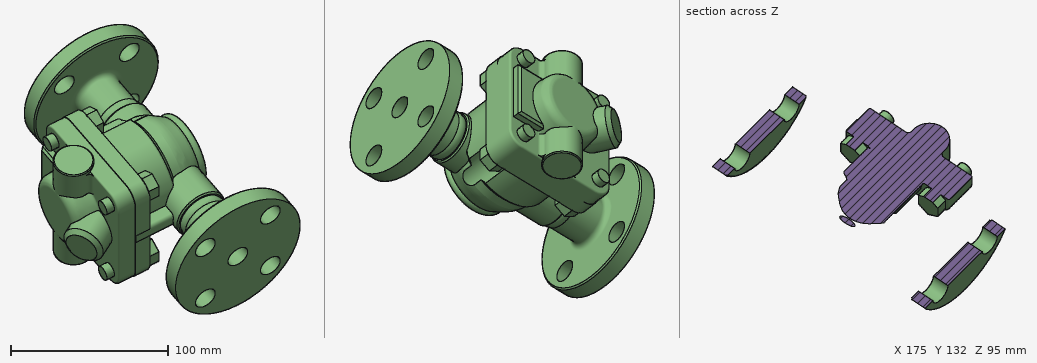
import cadquery as cq
import math

FACE_TO_FACE = 175.0
FLANGE_DIAMETER = 95.0
FLANGE_THICKNESS = 12.0
FLANGE_EDGE_CHAMFER = 1.0
BOLT_CIRCLE = 70.0
FIRST_HOLE_ANGLE = 45.0
FLANGE_HOLE_DIAMETER = 15.0
FLANGE_HOLE_COUNT = 4
BORE_DIAMETER = 15.0
BORE_DEPTH = 12.0
PIPE_RADIUS = 16.0
NECK_FILLET = 4.0
WELD_END_X = 51.3
WELD_HEIGHT = 0.7
SOCKET_RADIUS = 18.0
SOCKET_END_X = 45.3
SOCKET_CHAMFER = 1.0

BODY_X = -6.0
RING_TOP_Y = 22.0
RING_FACE_RADIUS = 22.6
RING_RADIUS = 25.8
RING_WIDEST_Y = 19.2
GROOVE_RADIUS = 24.8
GROOVE_Y = 16.5
NECK_TOP_RADIUS = 26.4
NECK_TOP_Y = 14.2
CONE_END_RADIUS = 30.2
CONE_END_Y = 7.5
NECK_RADIUS = 32.7
NECK_TOP_EDGE_Y = 0.5
NECK_BASE_Y = -6.0
CHAMBER_RADIUS = 36.5
CHAMBER_Y = -10.0
CHAMBER_EDGE_FILLET = 2.0
SIDE_TAB_END_X = 40.0
SIDE_TAB_HALF_HEIGHT = 5.0
SIDE_TAB_FILLET = 3.0

JOINT_X = -3.0
BODY_FLANGE_BACK_Y = -34.8
JOINT_Y = -46.5
COVER_FRONT_Y = -58.8
BODY_FLANGE_SIDE = 85.5
COVER_SIDE = 85.0
COVER_SHIFT = -0.25
JOINT_CORNER_RADIUS = 11.0
JOINT_EDGE_FILLET = 1.4
BOLT_SPACING = 64.0
BOLT_DIAMETER = 10.0
BOLT_END_Y = -64.5
NUT_SIDES = 6
NUT_ACROSS_FLATS = 16.0
NUT_HEIGHT = 8.0
NUT_TURN = 30.0
NUT_CHANNEL_RADIUS = 12.3

COVER_END_Y = -76.6
DOME_BASE_RADIUS = 26.2
DOME_RADIUS = 24.2
DOME_FILLET = 6.0
DOME_FOOT_FILLET = 1.5
PORT_DIAMETER = 26.0
PORT_LENGTH = 88.2
PORT_FOOT_FILLET = 3.0
PORT_CHAMFER = 0.7
PLATE_LEFT_X = -43.0
PLATE_HEIGHT = 42.0
PLATE_CHAMFER = 1.6
PLUG_DIAMETER = 28.0
PLUG_CHAMFER = 3.0
PLUG_TILT = 30.0
PLUG_LENGTH = 30.0
PLUG_FACE_X = 26.6
OVERALL_DEPTH = 132.04
PLUG_TIP_Y = FLANGE_DIAMETER / 2 - OVERALL_DEPTH


def cylinder_y(x, z, radius, y_from, y_to):
    """Cylinder along Y between two Y positions."""
    direction = cq.Vector(0, math.copysign(1, y_to - y_from), 0)
    solid = cq.Solid.makeCylinder(radius, abs(y_to - y_from), cq.Vector(x, y_from, z), direction)
    return cq.Workplane(obj=solid)


def joint_bolts():
    """X and Z positions of the four cover bolts."""
    half = BOLT_SPACING / 2
    return [(JOINT_X + sx * half, sz * half) for sx in (-1, 1) for sz in (-1, 1)]


def joint_plate(side, y_back, y_front):
    """Square plate with rounded corners, centred on the bolted joint."""
    depth = y_back - y_front
    plate = cq.Workplane("XY").box(side, depth, side)
    plate = plate.edges("|Y").fillet(JOINT_CORNER_RADIUS)
    return plate.translate((JOINT_X, (y_back + y_front) / 2, 0))


def pipe_end():
    """Flange, pipe, weld bead and socket of the +X side, down to the body centre."""
    end_x = FACE_TO_FACE / 2
    back_x = end_x - FLANGE_THICKNESS
    flange_radius = FLANGE_DIAMETER / 2
    weld_middle_x = (WELD_END_X + SOCKET_END_X) / 2
    fillet_middle = NECK_FILLET * (1 - math.sqrt(0.5))
    profile = (
        cq.Workplane("XY")
        .moveTo(0, 0)
        .lineTo(0, SOCKET_RADIUS)
        .lineTo(SOCKET_END_X - SOCKET_CHAMFER, SOCKET_RADIUS)
        .lineTo(SOCKET_END_X, SOCKET_RADIUS - SOCKET_CHAMFER)
        .lineTo(SOCKET_END_X, PIPE_RADIUS)
        .threePointArc((weld_middle_x, PIPE_RADIUS + WELD_HEIGHT), (WELD_END_X, PIPE_RADIUS))
        .lineTo(back_x - NECK_FILLET, PIPE_RADIUS)
        .threePointArc(
            (back_x - fillet_middle, PIPE_RADIUS + fillet_middle),
            (back_x, PIPE_RADIUS + NECK_FILLET),
        )
        .lineTo(back_x, flange_radius - FLANGE_EDGE_CHAMFER)
        .lineTo(back_x + FLANGE_EDGE_CHAMFER, flange_radius)
        .lineTo(end_x, flange_radius)
        .lineTo(end_x, 0)
        .close()
    )
    return profile.revolve(360, (0, 0, 0), (1, 0, 0))


def pipe_end_holes():
    """Flange bolt holes and bore of the +X side."""
    face = cq.Workplane("YZ", origin=(FACE_TO_FACE / 2, 0, 0))
    bolt_holes = (
        face.polarArray(BOLT_CIRCLE / 2, FIRST_HOLE_ANGLE, 360, FLANGE_HOLE_COUNT)
        .circle(FLANGE_HOLE_DIAMETER / 2)
        .extrude(-FLANGE_THICKNESS)
    )
    return bolt_holes.union(face.circle(BORE_DIAMETER / 2).extrude(-BORE_DEPTH))


def turned_body():
    """Body with its end ring, flaring neck and wider chamber."""
    return (
        cq.Workplane("XY")
        .moveTo(0, RING_TOP_Y)
        .lineTo(RING_FACE_RADIUS, RING_TOP_Y)
        .threePointArc((RING_RADIUS, RING_WIDEST_Y), (GROOVE_RADIUS, GROOVE_Y))
        .lineTo(NECK_TOP_RADIUS, NECK_TOP_Y)
        .lineTo(CONE_END_RADIUS, CONE_END_Y)
        .tangentArcPoint((NECK_RADIUS, NECK_TOP_EDGE_Y), relative=False)
        .lineTo(NECK_RADIUS, NECK_BASE_Y)
        .lineTo(CHAMBER_RADIUS - CHAMBER_EDGE_FILLET, CHAMBER_Y + CHAMBER_EDGE_FILLET)
        .radiusArc((CHAMBER_RADIUS, CHAMBER_Y), CHAMBER_EDGE_FILLET * math.sqrt(2))
        .lineTo(CHAMBER_RADIUS, JOINT_Y)
        .lineTo(0, JOINT_Y)
        .close()
        .revolve(360, (0, 0, 0), (0, 1, 0))
        .translate((BODY_X, 0, 0))
    )


def nut_channels():
    """Channels around the two -X bolts that clear the nuts and run out on the tapering neck."""
    cuts = cq.Workplane("XY")
    for x, z in joint_bolts():
        if x < BODY_X:
            cuts = cuts.add(cylinder_y(x, z, NUT_CHANNEL_RADIUS, JOINT_Y, RING_TOP_Y))
    return cuts.combine()


def side_tab():
    """Rib below the +X socket, running from the pipe axis to the body flange."""
    length = SIDE_TAB_END_X - BODY_X
    tab = cq.Workplane("XY").box(length, -JOINT_Y, 2 * SIDE_TAB_HALF_HEIGHT)
    tab = tab.edges("|Y and >X").fillet(SIDE_TAB_FILLET)
    return tab.translate((BODY_X + length / 2, JOINT_Y / 2, 0))


def body_flange():
    """Square flange of the body with its back edge rounded."""
    plate = joint_plate(BODY_FLANGE_SIDE, BODY_FLANGE_BACK_Y, JOINT_Y)
    return plate.faces(">Y").edges().fillet(JOINT_EDGE_FILLET)


def cover_plate():
    """Square plate of the cover with its front edge rounded, slightly off the body flange centre."""
    plate = joint_plate(COVER_SIDE, JOINT_Y, COVER_FRONT_Y).translate((COVER_SHIFT, 0, COVER_SHIFT))
    return plate.faces("<Y").edges().fillet(JOINT_EDGE_FILLET)


def dome():
    """Tapered dome with a rounded front edge and a concave fillet at its foot."""
    foot_middle = DOME_FOOT_FILLET * (1 - math.sqrt(0.5))
    return (
        cq.Workplane("XY")
        .moveTo(0, JOINT_Y)
        .lineTo(DOME_BASE_RADIUS + DOME_FOOT_FILLET, JOINT_Y)
        .lineTo(DOME_BASE_RADIUS + DOME_FOOT_FILLET, COVER_FRONT_Y)
        .threePointArc(
            (DOME_BASE_RADIUS + foot_middle, COVER_FRONT_Y - foot_middle),
            (DOME_BASE_RADIUS, COVER_FRONT_Y - DOME_FOOT_FILLET),
        )
        .lineTo(DOME_RADIUS, COVER_END_Y)
        .lineTo(0, COVER_END_Y)
        .close()
        .revolve(360, (0, 0, 0), (0, 1, 0))
        .faces("<Y")
        .edges()
        .fillet(DOME_FILLET)
        .translate((BODY_X, 0, 0))
    )


def vertical_port():
    """Round bar along Z through the dome, flush with its end face."""
    centre_y = COVER_END_Y + PORT_DIAMETER / 2
    port = cq.Workplane("XY").circle(PORT_DIAMETER / 2).extrude(PORT_LENGTH / 2, both=True)
    return port.faces("|Z").edges().chamfer(PORT_CHAMFER).translate((BODY_X, centre_y, 0))


def port_foot():
    """Concave fillets where the vertical port meets the front of the cover."""
    port_radius = PORT_DIAMETER / 2
    port_y = COVER_END_Y + port_radius
    fillet_y = COVER_FRONT_Y - PORT_FOOT_FILLET
    centre_distance = port_radius + PORT_FOOT_FILLET
    foot_x = math.sqrt(centre_distance**2 - (fillet_y - port_y) ** 2)
    touch_x = foot_x * port_radius / centre_distance
    touch_y = port_y + (fillet_y - port_y) * port_radius / centre_distance
    return (
        cq.Workplane("XY")
        .moveTo(-foot_x, JOINT_Y)
        .lineTo(-foot_x, COVER_FRONT_Y)
        .radiusArc((-touch_x, touch_y), PORT_FOOT_FILLET)
        .lineTo(touch_x, touch_y)
        .radiusArc((foot_x, COVER_FRONT_Y), PORT_FOOT_FILLET)
        .lineTo(foot_x, JOINT_Y)
        .close()
        .extrude(COVER_SIDE / 2 - JOINT_EDGE_FILLET, both=True)
        .translate((BODY_X, 0, COVER_SHIFT))
    )


def name_plate():
    """Raised rectangular pad between the dome and the -X edge of the cover."""
    length = BODY_X - PLATE_LEFT_X
    depth = JOINT_Y - BOLT_END_Y
    pad = cq.Workplane("XY").box(length, depth, PLATE_HEIGHT)
    pad = pad.faces("<Y").edges("<X or |X").chamfer(PLATE_CHAMFER)
    return pad.translate((PLATE_LEFT_X + length / 2, (JOINT_Y + BOLT_END_Y) / 2, 0))


def plug():
    """Round strainer plug, tilted from -Y towards +X."""
    tilt = math.radians(PLUG_TILT)
    face_radius = PLUG_DIAMETER / 2 - PLUG_CHAMFER
    face_y = PLUG_TIP_Y + face_radius * math.sin(tilt)
    inward = (-math.sin(tilt), math.cos(tilt), 0)
    plane = cq.Plane(origin=(PLUG_FACE_X, face_y, 0), xDir=(0, 0, 1), normal=inward)
    bar = cq.Workplane(plane).circle(PLUG_DIAMETER / 2).extrude(PLUG_LENGTH)
    return bar.faces("<Y").edges().chamfer(PLUG_CHAMFER)


def fasteners():
    """Bolt ends in front of the cover and hexagon nuts behind the body flange."""
    nut_circle = NUT_ACROSS_FLATS / math.cos(math.pi / NUT_SIDES)
    nut_end_y = BODY_FLANGE_BACK_Y + NUT_HEIGHT
    parts = cq.Workplane("XY")
    for x, z in joint_bolts():
        nut = (
            cq.Workplane("XZ", origin=(x, nut_end_y, z))
            .transformed(rotate=(0, 0, NUT_TURN))
            .polygon(NUT_SIDES, nut_circle)
            .extrude(nut_end_y - JOINT_Y)
        )
        parts = parts.add(nut.union(cylinder_y(x, z, BOLT_DIAMETER / 2, JOINT_Y, BOLT_END_Y)))
    return parts.combine()


ends = pipe_end().union(pipe_end().mirror("YZ"))
body = ends.union(turned_body().cut(nut_channels())).union(side_tab()).union(body_flange())
cover = cover_plate().union(dome()).union(port_foot()).union(vertical_port())
cover = cover.union(name_plate()).union(plug())
holes = pipe_end_holes().union(pipe_end_holes().mirror("YZ"))
result = body.union(cover).union(fasteners()).cut(holes)